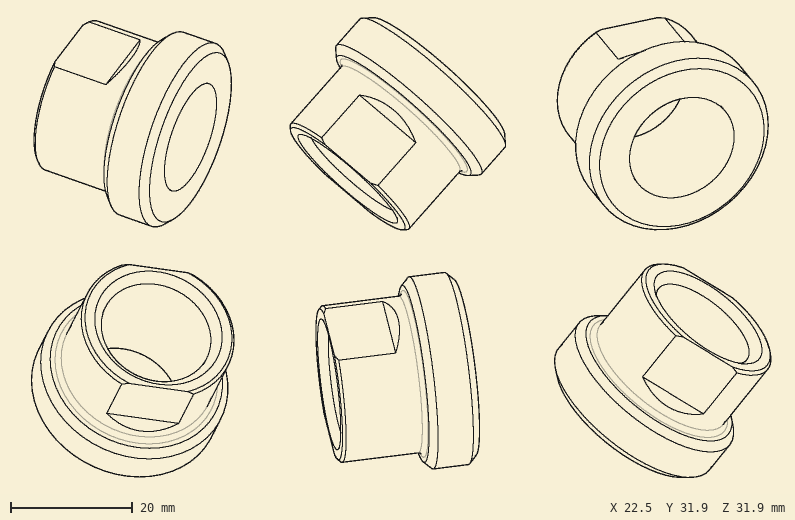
import cadquery as cq

total_length = 22.5
flange_diameter = 31.85
flange_width = 8.45
flange_chamfer = 1.27

spigot_diameter = 26.0
tip_chamfer = 0.5
neck_fillet = 0.83

bore_diameter = 18.63
mouth_diameter = 21.65
mouth_depth = (mouth_diameter - bore_diameter) / 2

flat_distance = 22.93
flat_length = 10.0

flange_start = total_length - flange_width
spigot_radius = spigot_diameter / 2


def make_flange():
    flange = cq.Workplane("YZ", origin=(flange_start, 0, 0)).circle(flange_diameter / 2).extrude(flange_width)
    return flange.edges("%CIRCLE").chamfer(flange_chamfer)


def make_spigot():
    spigot = cq.Workplane("YZ").circle(spigot_radius).extrude(flange_start)
    return spigot.faces("<X").edges().chamfer(tip_chamfer)


def neck_ring():
    """Concave fillet between the spigot and the flange face."""
    mid_offset = neck_fillet * (1 - 0.5 ** 0.5)
    profile = (
        cq.Workplane("XY")
        .moveTo(flange_start - neck_fillet, spigot_radius)
        .threePointArc(
            (flange_start - mid_offset, spigot_radius + mid_offset),
            (flange_start, spigot_radius + neck_fillet),
        )
        .lineTo(flange_start, bore_diameter / 2)
        .lineTo(flange_start - neck_fillet, bore_diameter / 2)
        .close()
    )
    return profile.revolve(360, (0, 0, 0), (1, 0, 0))


def bore_cutter():
    """Straight bore and its conical mouth."""
    profile = (
        cq.Workplane("XY")
        .lineTo(0, mouth_diameter / 2)
        .lineTo(mouth_depth, bore_diameter / 2)
        .lineTo(total_length, bore_diameter / 2)
        .lineTo(total_length, 0)
        .close()
    )
    return profile.revolve(360, (0, 0, 0), (1, 0, 0))


def flat_cutter():
    """Material above the upper flat, ending in a 45 degree run-out."""
    flat_height = flat_distance / 2
    run_out = spigot_radius - flat_height
    return (
        cq.Workplane("XZ")
        .moveTo(0, flat_height)
        .lineTo(flat_length, flat_height)
        .lineTo(flat_length + run_out, spigot_radius)
        .lineTo(0, spigot_radius)
        .close()
        .extrude(spigot_radius, both=True)
    )


result = make_flange().union(make_spigot()).union(neck_ring()).cut(bore_cutter())
for flat_angle in (0, 180):
    result = result.cut(flat_cutter().rotate((0, 0, 0), (1, 0, 0), flat_angle))